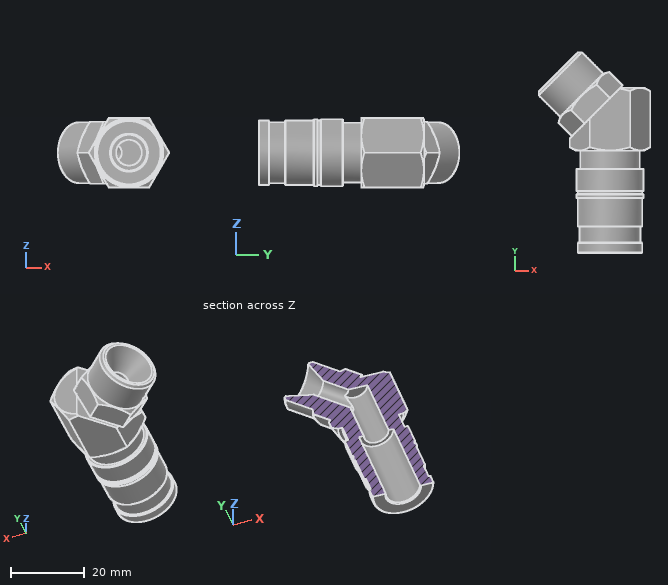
import cadquery as cq
import math

FLANGE_RADIUS = 8.8
FLANGE_END = 2.95
NECK_RADIUS = 8.3
NECK_END = 7.15
SLEEVE_RADIUS = FLANGE_RADIUS
SLEEVE_END = 14.9
RING_RADIUS = 9.15
RING_END = 16.15
GROOVE_RADIUS = 8.8
GROOVE_END = 16.8
COLLAR_END = 23.05
SHANK_RADIUS = 8.15
EDGE_BREAK = 0.2

BODY_START = 27.9
BODY_END = 45.05
BODY_FLATS = 19.0
BODY_FACE_RADIUS = 9.35
HEX_CHAMFER_ANGLE = 30

BEND_Y = 35.3
BEND_ANGLE = 45
SEAT_DISTANCE = 4.85
NUT_LENGTH = 6.0
NUT_FLATS = 16.95
NUT_FACE_RADIUS = 8.3
SPIGOT_RADIUS = 8.3
SPIGOT_LENGTH = 15.0
SPIGOT_CHAMFER = 0.75

PORT_RADIUS = 4.85
PORT_CHAMFER = 0.35
PORT_DEPTH = COLLAR_END
BORE_RADIUS = 3.5
BORE_DEPTH = 41.3
ANGLED_BORE_RADIUS = 2.9
CONE_MOUTH_RADIUS = 6.85
CONE_DEPTH = 6.6


def cylinder(radius, start, end):
    """Round bar along +Y."""
    plane = cq.Workplane("XZ", origin=(0, start, 0))
    return plane.circle(radius).extrude(start - end)


def cone(start_radius, end_radius, start, end):
    """Frustum along +Y."""
    profile = [(0, start), (start_radius, start), (end_radius, end), (0, end)]
    return cq.Workplane("XY").polyline(profile).close().revolve(360, (0, 0, 0), (0, 1, 0))


def hexagon(flats, start, end):
    """Hexagonal bar along +Y with two corners in the XY plane."""
    corners = flats / math.cos(math.radians(30))
    plane = cq.Workplane("XZ", origin=(0, start, 0))
    return plane.polygon(6, corners).extrude(start - end)


def chamfer_envelope(flats, face_radius, start, end, both_ends):
    """Turned solid whose conical ends trim the corners of a hexagon."""
    outer = flats / math.cos(math.radians(30)) / 2 + EDGE_BREAK
    rise = (outer - face_radius) * math.tan(math.radians(HEX_CHAMFER_ANGLE))
    if both_ends:
        near_end = [(face_radius, start), (outer, start + rise)]
    else:
        near_end = [(outer, start)]
    profile = [(0, start)] + near_end + [(outer, end - rise), (face_radius, end), (0, end)]
    return cq.Workplane("XY").polyline(profile).close().revolve(360, (0, 0, 0), (0, 1, 0))


def place_on_bend(shape):
    """Turn a shape built along +Y from the origin onto the angled axis."""
    return shape.rotate((0, 0, 0), (0, 0, 1), BEND_ANGLE).translate((0, BEND_Y, 0))


def make_straight_leg():
    flange = cylinder(FLANGE_RADIUS, 0, FLANGE_END).edges().chamfer(EDGE_BREAK)
    neck = cylinder(NECK_RADIUS, 0, NECK_END)
    sleeve = cylinder(SLEEVE_RADIUS, NECK_END, SLEEVE_END).edges("<Y").chamfer(EDGE_BREAK)
    ring = cylinder(RING_RADIUS, SLEEVE_END, RING_END).edges().chamfer(EDGE_BREAK)
    groove = cylinder(GROOVE_RADIUS, RING_END, GROOVE_END)
    collar = cylinder(RING_RADIUS, GROOVE_END, COLLAR_END).edges().chamfer(EDGE_BREAK)
    shank = cylinder(SHANK_RADIUS, COLLAR_END, BODY_START)
    leg = flange
    for section in (neck, sleeve, ring, groove, collar, shank):
        leg = leg.union(section)
    return leg


def make_body():
    body = hexagon(BODY_FLATS, BODY_START, BODY_END)
    envelope = chamfer_envelope(BODY_FLATS, BODY_FACE_RADIUS, BODY_START, BODY_END, True)
    removed = place_on_bend(cylinder(BODY_END, SEAT_DISTANCE, BODY_END))
    return body.intersect(envelope).cut(removed)


def make_angled_leg():
    nut_end = SEAT_DISTANCE + NUT_LENGTH
    spigot_end = SEAT_DISTANCE + SPIGOT_LENGTH
    nut = hexagon(NUT_FLATS, SEAT_DISTANCE, nut_end)
    envelope = chamfer_envelope(NUT_FLATS, NUT_FACE_RADIUS, SEAT_DISTANCE, nut_end, False)
    spigot = cylinder(SPIGOT_RADIUS, nut_end, spigot_end).edges(">Y").chamfer(SPIGOT_CHAMFER)
    return place_on_bend(nut.intersect(envelope).union(spigot))


def make_passages():
    spigot_end = SEAT_DISTANCE + SPIGOT_LENGTH
    bore = cylinder(BORE_RADIUS, 0, BORE_DEPTH)
    port = cylinder(PORT_RADIUS, 0, PORT_DEPTH)
    port_mouth = cone(PORT_RADIUS + PORT_CHAMFER, PORT_RADIUS, 0, PORT_CHAMFER)
    angled_bore = cylinder(ANGLED_BORE_RADIUS, 0, spigot_end)
    seat_cone = cone(ANGLED_BORE_RADIUS, CONE_MOUTH_RADIUS, spigot_end - CONE_DEPTH, spigot_end)
    angled = place_on_bend(angled_bore.union(seat_cone))
    return bore.union(port).union(port_mouth).union(angled)


result = make_straight_leg().union(make_body()).union(make_angled_leg()).cut(make_passages())